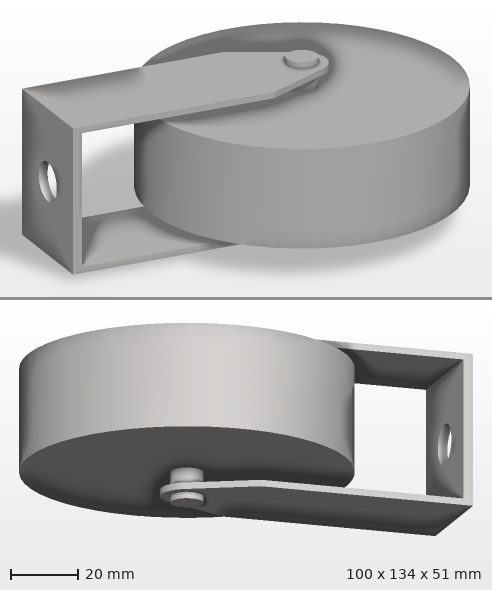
import cadquery as cq
import math

wheel_diameter = 100.0
wheel_width = 32.0
axle_diameter = 10.0
axle_length = 51.0

fork_width = 35.0
fork_height = 47.0
leg_thickness = 2.0
bridge_thickness = 3.0
bridge_outer_y = -84.0
tip_radius = 8.0
shoulder_y = -fork_width / 2
mount_hole_diameter = 12.5


def centred_cylinder(diameter, length):
    """Cylinder along Z, symmetric about the XY plane."""
    return cq.Workplane("XY", origin=(0, 0, -length / 2)).circle(diameter / 2).extrude(length)


def fork_blank():
    """Solid block with the leg outline: straight sides tapering tangentially to a round tip."""
    half_width = fork_width / 2
    shoulder_distance = math.hypot(half_width, shoulder_y)
    tangent_angle = math.atan2(shoulder_y, half_width) + math.acos(tip_radius / shoulder_distance)
    tangent_x = tip_radius * math.cos(tangent_angle)
    tangent_y = tip_radius * math.sin(tangent_angle)
    return (
        cq.Workplane("XY", origin=(0, 0, -fork_height / 2))
        .moveTo(-half_width, bridge_outer_y)
        .lineTo(half_width, bridge_outer_y)
        .lineTo(half_width, shoulder_y)
        .lineTo(tangent_x, tangent_y)
        .threePointArc((0, tip_radius), (-tangent_x, tangent_y))
        .lineTo(-half_width, shoulder_y)
        .close()
        .extrude(fork_height)
    )


def fork_opening():
    """Space between the two legs, open towards +Y."""
    opening_start = bridge_outer_y + bridge_thickness
    opening_length = tip_radius - opening_start
    opening_height = fork_height - 2 * leg_thickness
    return (
        cq.Workplane("XY")
        .box(fork_width, opening_length, opening_height, centered=(True, False, True))
        .translate((0, opening_start, 0))
    )


def mount_hole():
    """Round hole through the bridge plate along Y."""
    return (
        cq.Workplane("XZ", origin=(0, bridge_outer_y, 0))
        .circle(mount_hole_diameter / 2)
        .extrude(-bridge_thickness)
    )


fork = fork_blank().cut(fork_opening()).cut(mount_hole())
wheel = centred_cylinder(wheel_diameter, wheel_width)
axle = centred_cylinder(axle_diameter, axle_length)

result = fork.union(axle).union(wheel)